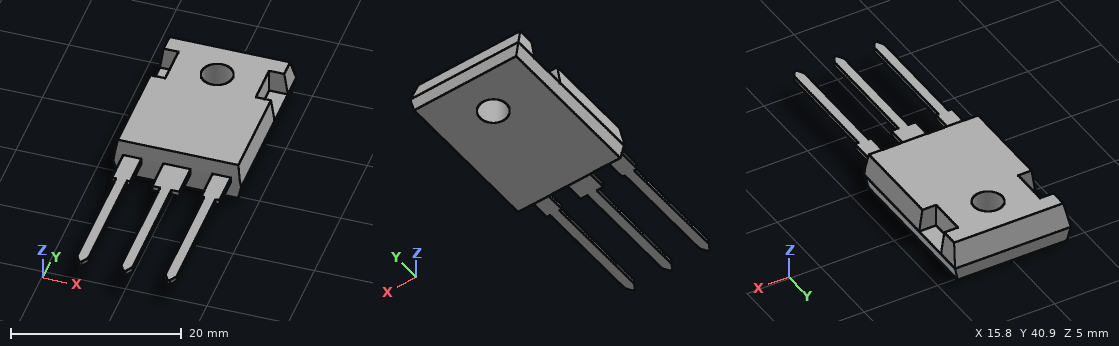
import cadquery as cq

TOTAL_LENGTH = 40.9
BODY_LENGTH = 21.0
BODY_WIDTH = 15.8
BODY_HEIGHT = 5.0
BACK_Y = TOTAL_LENGTH / 2
FACE_Y = BACK_Y - BODY_LENGTH
TIP_Y = -TOTAL_LENGTH / 2

PARTING_Z = 1.95
SIDE_INSET = 0.45
BACK_TOP_INSET = 1.0
BACK_BOTTOM_INSET = 0.15
FACE_TOP_INSET = 0.35
FACE_BOTTOM_INSET = 0.25

HOLE_DIAMETER = 3.85
HOLE_Y = BACK_Y - 5.75
NOTCH_LENGTH = 5.05
WAIST_WIDTH = 11.17

LEAD_BOTTOM_Z = 2.45
LEAD_THICKNESS = 0.7
LEAD_TOP_Z = LEAD_BOTTOM_Z + LEAD_THICKNESS
LEAD_PITCH = 5.45
LEAD_WIDTH = 1.4
SHOULDER_LENGTH = 4.3
CENTER_STEP = 1.0
OUTER_STEP = 0.5
INNER_STEP = 0.35
TIP_LENGTH = 0.9
TIP_WIDTH = 0.3


def make_body():
    """Molded housing: two crossing tapered prisms with a hole and two notches."""
    side_profile = [
        (BACK_Y - BACK_BOTTOM_INSET, 0),
        (BACK_Y, PARTING_Z),
        (BACK_Y - BACK_TOP_INSET, BODY_HEIGHT),
        (FACE_Y + FACE_TOP_INSET, BODY_HEIGHT),
        (FACE_Y, LEAD_TOP_Z),
        (FACE_Y, LEAD_BOTTOM_Z),
        (FACE_Y + FACE_BOTTOM_INSET, 0),
    ]
    half_width = BODY_WIDTH / 2
    inset_half_width = half_width - SIDE_INSET
    end_profile = [
        (-inset_half_width, 0),
        (-half_width, PARTING_Z),
        (-inset_half_width, BODY_HEIGHT),
        (inset_half_width, BODY_HEIGHT),
        (half_width, PARTING_Z),
        (inset_half_width, 0),
    ]
    lengthwise = cq.Workplane("YZ").polyline(side_profile).close().extrude(half_width, both=True)
    crosswise = cq.Workplane("XZ").polyline(end_profile).close().extrude(BACK_Y, both=True)
    body = lengthwise.intersect(crosswise)

    hole = cq.Workplane("XY").center(0, HOLE_Y).circle(HOLE_DIAMETER / 2).extrude(BODY_HEIGHT)
    body = body.cut(hole)

    notch_depth = (BODY_WIDTH - WAIST_WIDTH) / 2
    notch_x = (BODY_WIDTH + WAIST_WIDTH) / 4
    notches = (
        cq.Workplane("XY", origin=(0, HOLE_Y, PARTING_Z))
        .pushPoints([(-notch_x, 0), (notch_x, 0)])
        .rect(notch_depth, NOTCH_LENGTH)
        .extrude(BODY_HEIGHT - PARTING_Z)
    )
    return body.cut(notches)


def make_lead(x, left_step, right_step):
    """Flat lead with a wide shoulder at the body and a tapered tip."""
    half_width = LEAD_WIDTH / 2
    half_tip = TIP_WIDTH / 2
    shoulder_y = FACE_Y - SHOULDER_LENGTH
    taper_y = TIP_Y + TIP_LENGTH
    outline = [
        (-half_width - left_step, FACE_Y),
        (-half_width - left_step, shoulder_y),
        (-half_width, shoulder_y),
        (-half_width, taper_y),
        (-half_tip, TIP_Y),
        (half_tip, TIP_Y),
        (half_width, taper_y),
        (half_width, shoulder_y),
        (half_width + right_step, shoulder_y),
        (half_width + right_step, FACE_Y),
    ]
    return (
        cq.Workplane("XY", origin=(x, 0, LEAD_BOTTOM_Z))
        .polyline(outline)
        .close()
        .extrude(LEAD_THICKNESS)
    )


body = make_body()

lead_layout = [
    (-LEAD_PITCH, OUTER_STEP, INNER_STEP),
    (0, CENTER_STEP, CENTER_STEP),
    (LEAD_PITCH, INNER_STEP, OUTER_STEP),
]
leads = [make_lead(*layout).val() for layout in lead_layout]

result = cq.Compound.makeCompound([body.val(), *leads])